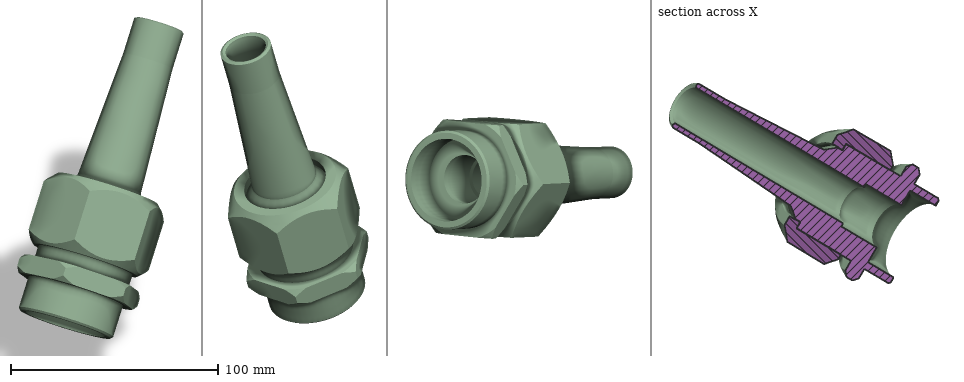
import cadquery as cq
import math


TILT_DEG = 34.7
YAW_DEG = 0.8

SOCKET_DEPTH = 17.0
HEX_START = 16.8
HEX_END = 26.0
NUT_START = 32.5
BORE_END = 40.3
NECK_END = 62.0
FLARE_START = 64.9
NUT_END = 68.8
FLARE_END = 71.1
TAPER_END = 133.5
LENGTH = 152.4

ACROSS_FLATS = 55.0
CORNER_R = ACROSS_FLATS / math.sqrt(3)
HEX_FACE_D = 58.2
NUT_FRONT_FACE_D = 52.7
NUT_REAR_FACE_D = 50.7

SOCKET_D = 47.8
SOCKET_CHAMFER = 1.0
NECK_D = 47.7
COLLAR_D = 40.5
PIPE_ROOT_D = 31.9
PIPE_D = 25.0

SOCKET_BORE_D = 40.0
BORE_D = 23.5
PIPE_BORE_D = 20.0

RIDGE_HEIGHT = 0.7
RIDGE_D = (PIPE_D + PIPE_BORE_D) / 2


def turned(profile):
    """Solid of revolution about Z from (diameter, height) points."""
    points = [(diameter / 2, height) for diameter, height in profile]
    return cq.Workplane("XZ").polyline(points).close().revolve(360, (0, 0, 0), (0, 1, 0))


def chamfered_hexagon(start, end, start_face_d, end_face_d):
    """Hexagonal prism along Z with flats facing +-X and its corners turned off at 45 degrees."""
    prism = (
        cq.Workplane("XY", origin=(0, 0, start))
        .polygon(6, 2 * CORNER_R)
        .extrude(end - start)
        .rotate((0, 0, 0), (0, 0, 1), 30)
    )
    blank = turned([
        (0, start),
        (start_face_d, start),
        (2 * CORNER_R, start + CORNER_R - start_face_d / 2),
        (2 * CORNER_R, end - CORNER_R + end_face_d / 2),
        (end_face_d, end),
        (0, end),
    ])
    return prism.intersect(blank)


def make_body():
    """Socket, fixed hexagon, neck and tapered pipe in one piece, bored right through."""
    outside = turned([
        (0, 0),
        (SOCKET_D - 2 * SOCKET_CHAMFER, 0),
        (SOCKET_D, SOCKET_CHAMFER),
        (SOCKET_D, HEX_START),
        (NECK_D, HEX_START),
        (NECK_D, NECK_END),
        (COLLAR_D, NECK_END),
        (COLLAR_D, FLARE_START),
        (PIPE_ROOT_D, FLARE_END),
        (PIPE_D, TAPER_END),
        (PIPE_D, LENGTH - RIDGE_HEIGHT),
        (RIDGE_D, LENGTH),
        (PIPE_BORE_D, LENGTH - RIDGE_HEIGHT),
        (0, LENGTH - RIDGE_HEIGHT),
    ])
    bore = turned([
        (0, 0),
        (SOCKET_BORE_D, 0),
        (SOCKET_BORE_D, SOCKET_DEPTH),
        (BORE_D, SOCKET_DEPTH),
        (BORE_D, BORE_END),
        (PIPE_BORE_D, BORE_END),
        (PIPE_BORE_D, LENGTH),
        (0, LENGTH),
    ])
    fixed_hexagon = chamfered_hexagon(HEX_START, HEX_END, HEX_FACE_D, HEX_FACE_D)
    return outside.union(fixed_hexagon).cut(bore)


def make_nut():
    """Union nut whose stepped bore fits the neck and the collar of the body."""
    bore = turned([
        (0, NUT_START),
        (NECK_D, NUT_START),
        (NECK_D, NECK_END),
        (COLLAR_D, NECK_END),
        (COLLAR_D, NUT_END),
        (0, NUT_END),
    ])
    return chamfered_hexagon(NUT_START, NUT_END, NUT_FRONT_FACE_D, NUT_REAR_FACE_D).cut(bore)


def tilted_frame():
    """Frame whose Z runs along the fitting and whose X stays as close to the global X as it can."""
    tilt = math.radians(TILT_DEG)
    yaw = math.radians(YAW_DEG)
    axis = cq.Vector(
        -math.sin(yaw),
        math.cos(yaw) * math.cos(tilt),
        math.cos(yaw) * math.sin(tilt),
    )
    across = cq.Vector(1, 0, 0) - axis * axis.x
    return cq.Location(cq.Plane((0, 0, 0), across, axis))


frame = tilted_frame()
body = make_body().solids().val().moved(frame)
nut = make_nut().solids().val().moved(frame)

result = cq.Compound.makeCompound([body, nut])